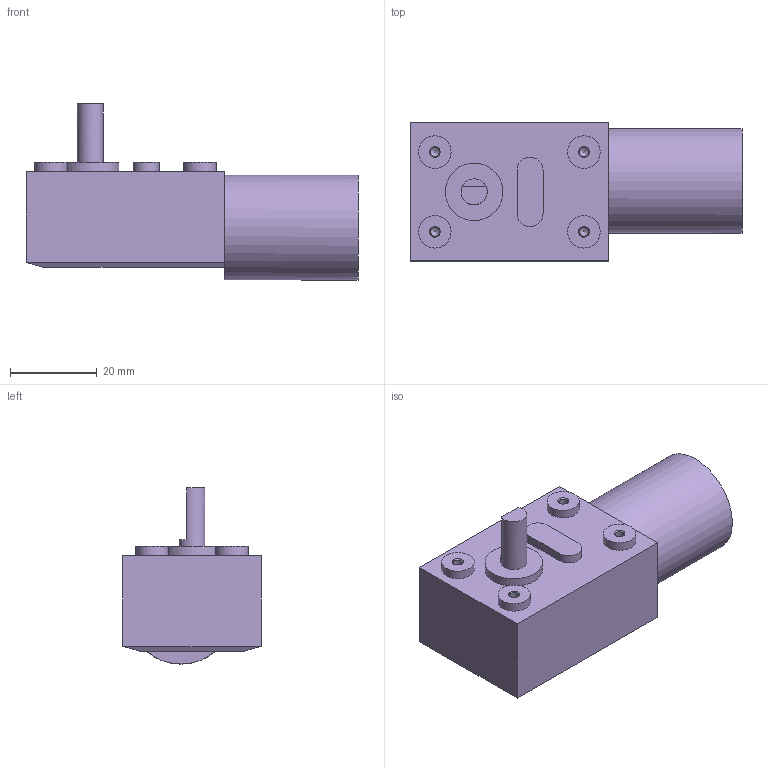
import cadquery as cq
import math

TOTAL_LENGTH = 76.62
HOUSING_LENGTH = 45.8
HOUSING_WIDTH = 31.87
WALL_HEIGHT = 21.0
LID_BEVEL_HEIGHT = 1.1
LID_BEVEL_ANGLE = 15.0

TOTAL_HEIGHT = 40.65
MOTOR_DIAMETER = 24.15
MOTOR_OFFSET_Y = 2.54
MOTOR_LENGTH = TOTAL_LENGTH - HOUSING_LENGTH

PAD_HEIGHT = 2.1
SCREW_PAD_DIAMETER = 7.5
SCREW_SPACING_X = 34.4
SCREW_SPACING_Y = 18.4
FIRST_SCREW_X = 5.74
SLOT_PAD_LENGTH = 16.0
SLOT_PAD_WIDTH = 6.0
SLOT_PAD_X = 27.7

HOLE_DIAMETER = 2.01
HOLE_MOUTH_DIAMETER = 2.5
HOLE_DEPTH = 6.0
DRILL_POINT_ANGLE = 118.0

SHAFT_X = 14.8
SHAFT_DIAMETER = 6.0
SHAFT_TOP = 15.6
COLLAR_DIAMETER = 13.3
FLAT_OFFSET = 1.22
FLAT_START = PAD_HEIGHT + 1.5

MOTOR_AXIS_Z = SHAFT_TOP - TOTAL_HEIGHT + MOTOR_DIAMETER / 2


def cylinder_up(x, y, z_start, z_end, diameter):
    """Vertical cylinder between two heights."""
    return cq.Workplane("XY", origin=(x, y, z_start)).circle(diameter / 2).extrude(z_end - z_start)


def make_housing():
    """Block whose bottom is bevelled on both long sides and on the end away from the motor."""
    height = WALL_HEIGHT + LID_BEVEL_HEIGHT
    bevel_run = LID_BEVEL_HEIGHT / math.tan(math.radians(LID_BEVEL_ANGLE))
    half_width = HOUSING_WIDTH / 2
    cross_section = [
        (-half_width, 0),
        (half_width, 0),
        (half_width, -WALL_HEIGHT),
        (half_width - bevel_run, -height),
        (-half_width + bevel_run, -height),
        (-half_width, -WALL_HEIGHT),
    ]
    side_profile = [
        (0, 0),
        (HOUSING_LENGTH, 0),
        (HOUSING_LENGTH, -height),
        (bevel_run, -height),
        (0, -WALL_HEIGHT),
    ]
    along_length = cq.Workplane("YZ").polyline(cross_section).close().extrude(HOUSING_LENGTH)
    across_width = cq.Workplane("XZ").polyline(side_profile).close().extrude(half_width, both=True)
    return along_length.intersect(across_width)


def make_motor():
    """Plain motor can on the housing's +X end."""
    start = (HOUSING_LENGTH, MOTOR_OFFSET_Y, MOTOR_AXIS_Z)
    return cq.Workplane("YZ", origin=start).circle(MOTOR_DIAMETER / 2).extrude(MOTOR_LENGTH)


def make_slot_pad():
    """Raised pad with round ends, lying across the housing."""
    face = cq.Workplane("XY", origin=(SLOT_PAD_X, 0, 0))
    return face.slot2D(SLOT_PAD_LENGTH, SLOT_PAD_WIDTH, angle=90).extrude(PAD_HEIGHT)


def make_shaft():
    """Output shaft with a flat facing +Y that stops short of the collar."""
    shaft = cylinder_up(SHAFT_X, 0, 0, SHAFT_TOP, SHAFT_DIAMETER)
    flat_cut = cq.Workplane("XY", origin=(SHAFT_X, FLAT_OFFSET, FLAT_START)).box(
        SHAFT_DIAMETER, SHAFT_DIAMETER, SHAFT_TOP - FLAT_START, centered=(True, False, False)
    )
    collar = cylinder_up(SHAFT_X, 0, 0, PAD_HEIGHT, COLLAR_DIAMETER)
    return collar.union(shaft.cut(flat_cut))


def make_screw_hole(x, y):
    """Blind hole with a 45 degree countersunk mouth and a conical drill point."""
    radius = HOLE_DIAMETER / 2
    mouth_radius = HOLE_MOUTH_DIAMETER / 2
    mouth_depth = mouth_radius - radius
    point_depth = radius / math.tan(math.radians(DRILL_POINT_ANGLE / 2))
    half_profile = [
        (0, 0),
        (mouth_radius, 0),
        (radius, -mouth_depth),
        (radius, -HOLE_DEPTH),
        (0, -HOLE_DEPTH - point_depth),
    ]
    profile = cq.Workplane("XZ", origin=(x, y, PAD_HEIGHT)).polyline(half_profile).close()
    return profile.revolve(360, (0, 0, 0), (0, 1, 0))


screw_places = [
    (x, y)
    for x in (FIRST_SCREW_X, FIRST_SCREW_X + SCREW_SPACING_X)
    for y in (-SCREW_SPACING_Y / 2, SCREW_SPACING_Y / 2)
]

body = make_housing().union(make_motor()).union(make_slot_pad()).union(make_shaft())
for x, y in screw_places:
    body = body.union(cylinder_up(x, y, 0, PAD_HEIGHT, SCREW_PAD_DIAMETER))
for x, y in screw_places:
    body = body.cut(make_screw_hole(x, y))

result = body